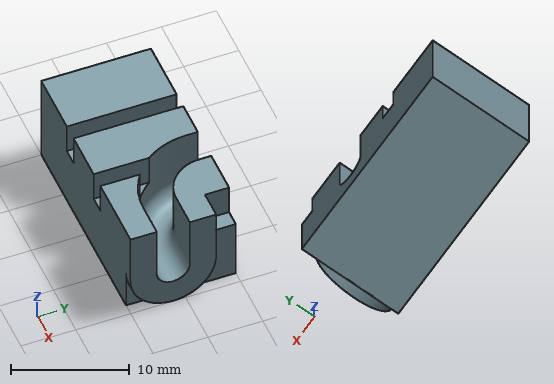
import cadquery as cq

length = 20
width = 10
height = 9

slot_width = 1.5
slot_depth = 3
first_slot_x = 6.5
slot_pitch = 6
slot_count = 2

tab_thickness = 1
tab_width = 7.8
tab_radius = tab_width / 2
body_length = length - tab_thickness

channel_width = 3
channel_radius = channel_width / 2
bend_radius = 5
bend_x = 17
channel_y = tab_width / 2
channel_z = tab_radius
bend_y = channel_y + bend_radius

notch_length = 1.5
notch_depth = slot_depth

overrun = 1


def box(x_start, y_start, z_start, x_size, y_size, z_size):
    """Box placed by its lowest corner."""
    corner = (x_start, y_start, z_start)
    return cq.Workplane("XY").box(x_size, y_size, z_size, centered=False).translate(corner)


def tab():
    """Plate along X whose lower end is a full half circle across its width."""
    return (
        cq.Workplane("YZ", origin=(body_length, 0, 0))
        .moveTo(0, height)
        .lineTo(0, tab_radius)
        .threePointArc((tab_width / 2, 0), (tab_width, tab_radius))
        .lineTo(tab_width, height)
        .close()
        .extrude(tab_thickness)
    )


def channel():
    """U-shaped profile swept from the end face around a quarter bend to the back face."""
    path = (
        cq.Workplane("XY")
        .moveTo(length + overrun, channel_y)
        .lineTo(bend_x, channel_y)
        .radiusArc((bend_x - bend_radius, bend_y), bend_radius)
        .lineTo(bend_x - bend_radius, width + overrun)
    )
    profile = (
        cq.Workplane("YZ", origin=(length + overrun, channel_y, 0))
        .moveTo(-channel_radius, height + overrun)
        .lineTo(-channel_radius, channel_z)
        .threePointArc((0, channel_z - channel_radius), (channel_radius, channel_z))
        .lineTo(channel_radius, height + overrun)
        .close()
    )
    return profile.sweep(path)


result = box(0, 0, 0, body_length, width, height).union(tab())

for index in range(slot_count):
    slot_start = first_slot_x + index * slot_pitch - slot_width / 2
    result = result.cut(box(slot_start, 0, height - slot_depth, slot_width, width, slot_depth))

notch = box(
    body_length - notch_length, tab_width, height - notch_depth,
    notch_length, width - tab_width, notch_depth,
)
result = result.cut(channel()).cut(notch)